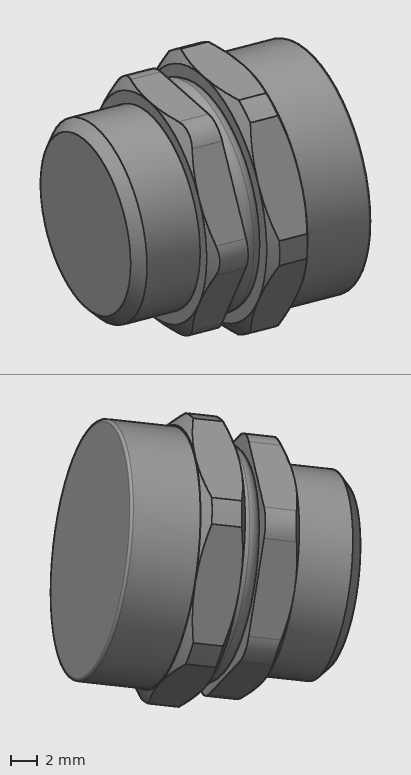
import cadquery as cq
import math

thread_diameter = 16.0
thread_length = 5.43
thread_chamfer = 0.9

nut_across_flats = 18.03
nut_length = 3.0
nut_corner_radius = 2.5

ring_outer_diameter = 18.2
ring_width = 1.58
ring_section_radius = 1.05
ring_centre_to_collar = 0.62

collar_across_flats = 20.0
collar_corner_diameter = 22.0
collar_length = 3.5

body_diameter = 19.8
total_length = 19.0
body_edge_radius = 0.22

bevel_angle = 30.0

nut_start = thread_length
ring_start = nut_start + nut_length
collar_start = ring_start + ring_width
body_start = collar_start + collar_length
body_length = total_length - body_start


def plane_at(y):
    """XZ plane at the given Y, with its normal along +Y."""
    return cq.Workplane(cq.Plane((0, y, 0), xDir=(1, 0, 0), normal=(0, 1, 0)))


def cylinder(diameter, start, length):
    return plane_at(start).circle(diameter / 2).extrude(length)


def hexagon(across_flats, start, length):
    """Hexagonal prism with corners on the X axis."""
    corner_diameter = across_flats / math.cos(math.radians(30))
    return plane_at(start).polygon(6, corner_diameter).extrude(length)


def bevel_envelope(face_diameter, outer_diameter, start, length, bevel_back):
    """Round blank with a conical front, and a conical back if asked for."""
    face_radius = face_diameter / 2
    outer_radius = outer_diameter / 2
    bevel = (outer_radius - face_radius) * math.tan(math.radians(bevel_angle))
    end = start + length
    profile = [(0, start), (face_radius, start), (outer_radius, start + bevel)]
    if bevel_back:
        profile += [(outer_radius, end - bevel), (face_radius, end)]
    else:
        profile += [(outer_radius, end)]
    profile += [(0, end)]
    return cq.Workplane("XY").polyline(profile).close().revolve(360, (0, 0), (0, 1))


thread = cylinder(thread_diameter, 0, thread_length).faces("<Y").chamfer(thread_chamfer)

nut_corner_diameter = nut_across_flats / math.cos(math.radians(30))
nut = hexagon(nut_across_flats, nut_start, nut_length).edges("|Y").fillet(nut_corner_radius)
nut = nut.intersect(
    bevel_envelope(nut_across_flats, nut_corner_diameter, nut_start, nut_length, False)
)

ring_centre_radius = ring_outer_diameter / 2 - ring_section_radius
ring_centre_y = collar_start - ring_centre_to_collar
ring_section = cq.Workplane("XY").center(ring_centre_radius, ring_centre_y).circle(ring_section_radius)
ring = ring_section.revolve(360, (-ring_centre_radius, 0), (-ring_centre_radius, 1))
core = cylinder(2 * ring_centre_radius, ring_start, ring_width)
trim = cylinder(collar_corner_diameter, ring_start, ring_width)
ring = ring.union(core).intersect(trim)

collar = hexagon(collar_across_flats, collar_start, collar_length).intersect(
    bevel_envelope(
        collar_across_flats, collar_corner_diameter, collar_start, collar_length, True
    )
)

body = cylinder(body_diameter, body_start, body_length).faces(">Y").edges().fillet(body_edge_radius)

result = thread.union(nut).union(ring).union(collar).union(body)